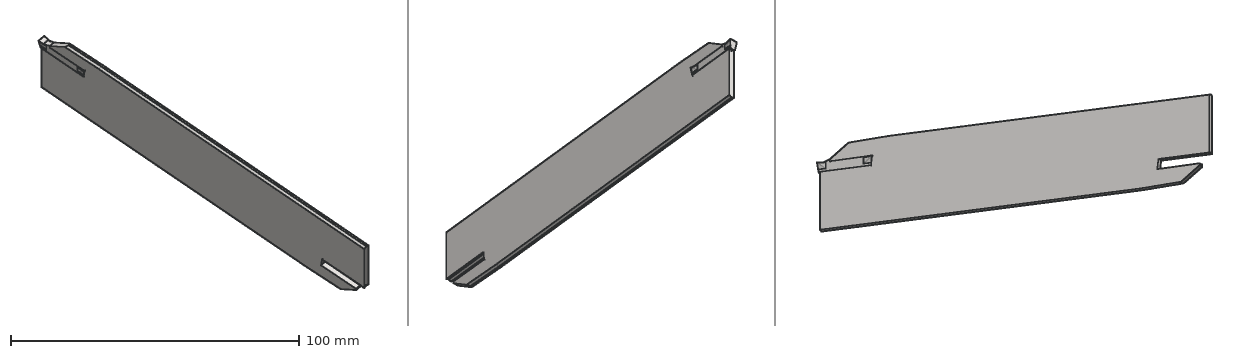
import cadquery as cq

total_length = 151.0
blade_height = 31.4
blade_thickness = 2.3
blade_front = 1.0
bevel_height = 0.5
relief_length = 26.6
relief_drop = 0.9
jaw_tip_x = 4.8
jaw_tip_top = 25.4
jaw_slope_end_x = 12.7
jaw_slope_end_z = 31.0
pocket_floor = 21.3
pocket_mouth_top = 24.6
pocket_back_x = 21.1
keel_depth = 0.5
end_lean = 0.5
head_width = 3.0
head_length = 3.3
head_root_width = 2.4
head_bottom = 22.2
cutting_edge_z = 24.8
pocket_back_top = cutting_edge_z
chip_floor_x = 2.1
chip_floor_z = 24.5

blade_center = ((blade_front + total_length) / 2, 0, blade_height / 2)
insert_center_x = pocket_back_x / 2
cut_margin = 1.5


def blade_section(x, bottom, top):
    """Cross-section of the blade with a central ridge on both long edges."""
    half = blade_thickness / 2
    points = [
        (-half, bottom + bevel_height),
        (0, bottom),
        (half, bottom + bevel_height),
        (half, top - bevel_height),
        (0, top),
        (-half, top - bevel_height),
    ]
    return cq.Wire.makePolygon([cq.Vector(x, y, z) for y, z in points], close=True)


def side_prism(points, width):
    """Extrude an XZ outline symmetrically about Y = 0."""
    return cq.Workplane("XZ").polyline(points).close().extrude(width / 2, both=True)


def make_keel():
    """V-shaped keel along the pocket floor that centers the insert."""
    half = blade_thickness / 2
    return (
        cq.Workplane("YZ").workplane(offset=end_lean)
        .polyline([(-half, pocket_floor), (half, pocket_floor), (0, pocket_floor - keel_depth)])
        .close().extrude(pocket_back_x - 2 * end_lean)
    )


def make_end_cut():
    """Nose slope and insert pocket at the front end of the blade."""
    outside = blade_front - cut_margin
    slope = (jaw_slope_end_z - jaw_tip_top) / (jaw_slope_end_x - jaw_tip_x)
    above = blade_height + cut_margin
    slope_exit_x = jaw_tip_x + (above - jaw_tip_top) / slope
    pocket = side_prism([
        (outside, pocket_floor),
        (pocket_back_x - end_lean, pocket_floor),
        (pocket_back_x, pocket_back_top),
        (jaw_tip_x, pocket_mouth_top),
        (jaw_tip_x, jaw_tip_top),
        (slope_exit_x, above),
        (outside, above),
    ], head_width)
    return pocket.union(make_keel())


def make_blade():
    """Reversible blade: the second end is the first turned half a turn about Y."""
    sections = [
        blade_section(blade_front, 0, blade_height - relief_drop),
        blade_section(blade_front + relief_length, 0, blade_height),
        blade_section(total_length - relief_length, 0, blade_height),
        blade_section(total_length, relief_drop, blade_height),
    ]
    blade = cq.Workplane(cq.Solid.makeLoft(sections, True))
    front_cut = make_end_cut()
    axis_end = (blade_center[0], 1, blade_center[2])
    rear_cut = front_cut.rotate(blade_center, axis_end, 180)
    return blade.cut(front_cut).cut(rear_cut)


def make_head():
    """Cutting head, narrowing to its root width backward and downward."""
    half_edge = head_width / 2
    half_root = head_root_width / 2
    plan = (
        cq.Workplane("XY").workplane(offset=head_bottom)
        .polyline([(0, -half_edge), (head_length, -half_root), (head_length, half_root), (0, half_edge)])
        .close().extrude(cutting_edge_z - head_bottom)
    )
    face = (
        cq.Workplane("YZ")
        .polyline([
            (-half_root, head_bottom),
            (half_root, head_bottom),
            (half_edge, cutting_edge_z),
            (-half_edge, cutting_edge_z),
        ])
        .close().extrude(head_length)
    )
    head_side = side_prism([
        (end_lean, pocket_floor),
        (head_length, pocket_floor),
        (head_length, chip_floor_z),
        (chip_floor_x, chip_floor_z),
        (0, cutting_edge_z),
    ], head_width)
    return plan.intersect(face).intersect(head_side)


def make_insert():
    """Double-ended insert that fills the front pocket of the blade."""
    body = side_prism([
        (end_lean, pocket_floor),
        (pocket_back_x - end_lean, pocket_floor),
        (pocket_back_x, pocket_back_top),
        (jaw_tip_x, pocket_mouth_top),
        (jaw_tip_x, jaw_tip_top),
        (chip_floor_x, chip_floor_z),
        (0, cutting_edge_z),
    ], blade_thickness)
    front_head = make_head()
    mirror_point = (insert_center_x, 0, 0)
    rear_head = front_head.mirror("YZ", mirror_point)
    return body.union(make_keel()).union(front_head).union(rear_head)


blade = make_blade()
insert = make_insert()

result = cq.Compound.makeCompound([blade.solids().val(), insert.solids().val()])